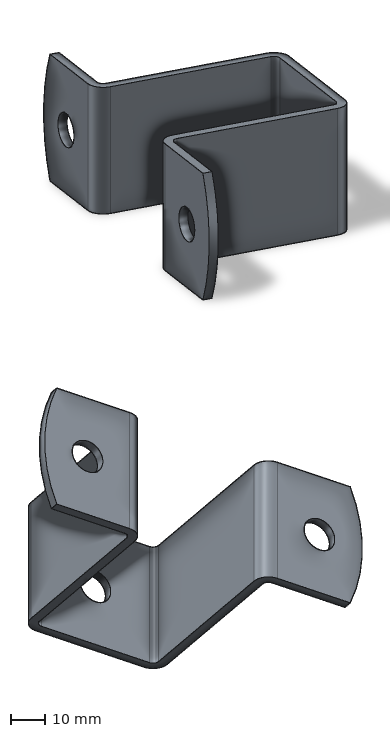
import cadquery as cq
import math

length = 109.7
depth = 62.0
height = 40.0
thickness = 3.0
channel_width = 47.0
inner_bend_radius = 2.0
end_radius = 50.0
hole_diameter = 10.5
hole_spacing = 40.0

outer_bend_radius = inner_bend_radius + thickness
half_length = length / 2
outer_wall = channel_width / 2
inner_wall = outer_wall - thickness


def round_bends(strip, corners, radius):
    """Round the Z edges at the given XY corners and at their mirror images in X."""
    edges = cq.Workplane("XY")
    for x, y in corners:
        for side in (-1, 1):
            nearest = cq.selectors.NearestToPointSelector((side * x, y, 0))
            edges = edges.add(strip.edges("|Z").edges(nearest))
    return strip.newObject([strip.val().fillet(radius, edges.vals())])


def make_bent_strip():
    """Hat-shaped sheet with its flanges on the Y = 0 plane."""
    profile = (
        cq.Workplane("XY")
        .moveTo(-half_length, 0)
        .lineTo(-inner_wall, 0)
        .lineTo(-inner_wall, depth - thickness)
        .lineTo(inner_wall, depth - thickness)
        .lineTo(inner_wall, 0)
        .lineTo(half_length, 0)
        .lineTo(half_length, thickness)
        .lineTo(outer_wall, thickness)
        .lineTo(outer_wall, depth)
        .lineTo(-outer_wall, depth)
        .lineTo(-outer_wall, thickness)
        .lineTo(-half_length, thickness)
        .close()
    )
    strip = profile.extrude(height / 2, both=True)
    outside_bends = [(inner_wall, 0), (outer_wall, depth)]
    inside_bends = [(outer_wall, thickness), (inner_wall, depth - thickness)]
    strip = round_bends(strip, outside_bends, outer_bend_radius)
    return round_bends(strip, inside_bends, inner_bend_radius)


def make_end_outline():
    """Solid along Y whose rounded ends trim both flanges."""
    center_x = half_length - end_radius
    corner_x = center_x + math.sqrt(end_radius**2 - (height / 2) ** 2)
    return (
        cq.Workplane("XZ")
        .moveTo(-corner_x, -height / 2)
        .lineTo(corner_x, -height / 2)
        .threePointArc((half_length, 0), (corner_x, height / 2))
        .lineTo(-corner_x, height / 2)
        .threePointArc((-half_length, 0), (-corner_x, -height / 2))
        .close()
        .extrude(-depth)
    )


def make_hole_cutters():
    """Pins along Y for the flange holes and the hole in the channel web."""
    centers = [(-hole_spacing, 0), (0, 0), (hole_spacing, 0)]
    return cq.Workplane("XZ").pushPoints(centers).circle(hole_diameter / 2).extrude(-depth)


result = make_bent_strip().intersect(make_end_outline()).cut(make_hole_cutters())